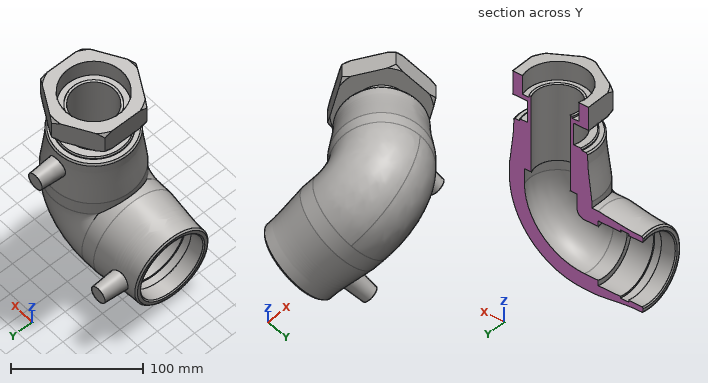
import cadquery as cq
import math

body_radius = 82.0 / 2
bend_radius = 32.7
socket_start = 46.2
arm_length = 90.0
passage_radius = 26.6

mouth_radius = 37.0
mouth_chamfer = 1.4
socket_bore_radius = 31.5
bore_chamfer = 1.0
groove_depth = 1.5
groove_start = 14.5
groove_end = 22.2

pin_inset = 18.2
pin_tip_y = 59.0
pin_root_y = 34.1
pin_tip_radius = 7.7
pin_root_radius = 9.5

collar_radius = 31.5
collar_height = 2.0
collar_chamfer = 1.0
tube_radius = 48.1 / 2
tube_bore_radius = 41.0 / 2

overall_height = 175.0
nut_top = overall_height - body_radius
nut_bottom = 111.6
nut_across_flats = 73.7
nut_face_radius = 39.5
nut_corner_slope = 0.9
nut_envelope_margin = 1.8
nut_bore_radius = 56.7 / 2
nut_bore_depth = 17.7
lip_radius = 45.3 / 2
lip_height = 1.8


def cylinder_z(radius, bottom, top):
    return cq.Workplane("XY").workplane(offset=bottom).circle(radius).extrude(top - bottom)


def along_minus_x(upright):
    """Turn a shape built along +Z so that it lies along -X."""
    return upright.rotate((0, 0, 0), (0, 1, 0), -90)


def make_arm():
    """Straight sleeve followed by a curved taper to the chamfered mouth."""
    mouth_edge = arm_length - mouth_chamfer
    taper_length = mouth_edge - socket_start
    taper_drop = body_radius - mouth_radius
    taper_controls = [
        (body_radius, socket_start),
        (body_radius - taper_drop / 3, socket_start + taper_length / 3),
        (mouth_radius, mouth_edge - taper_length / 3),
        (mouth_radius, mouth_edge),
    ]
    return (
        cq.Workplane("XZ")
        .moveTo(0, bend_radius)
        .lineTo(body_radius, bend_radius)
        .lineTo(body_radius, socket_start)
        .bezier(taper_controls[1:], includeCurrent=True)
        .lineTo(mouth_radius - mouth_chamfer, arm_length)
        .lineTo(0, arm_length)
        .close()
        .revolve(360, (0, 0, 0), (0, 1, 0))
    )


def make_bend(section):
    """Sweep a section around the axis parallel to Y through the bend centre."""
    return section.revolve(90, (-bend_radius, 0, 0), (-bend_radius, 1, 0))


def make_outer_bend():
    """The tube is wider than its bend, so its section is cut off at the bend axis."""
    half_chord = math.sqrt(body_radius**2 - bend_radius**2)
    arc_mid_angle = math.acos(-bend_radius / body_radius) / 2
    arc_mid_x = body_radius * math.cos(arc_mid_angle)
    arc_mid_y = body_radius * math.sin(arc_mid_angle)
    section = (
        cq.Workplane("XY")
        .workplane(offset=bend_radius)
        .moveTo(-bend_radius, -half_chord)
        .threePointArc((arc_mid_x, -arc_mid_y), (body_radius, 0))
        .threePointArc((arc_mid_x, arc_mid_y), (-bend_radius, half_chord))
        .close()
    )
    return make_bend(section)


def make_passage():
    """Continuous bore through the bend and into both arms."""
    section = cq.Workplane("XY").workplane(offset=bend_radius).circle(passage_radius)
    straight = cylinder_z(passage_radius, bend_radius, socket_start)
    return make_bend(section).union(straight).union(along_minus_x(straight))


def make_socket_bore():
    """Open socket with a chamfered mouth and one internal groove."""
    bore = cylinder_z(socket_bore_radius, socket_start, arm_length)
    groove = cylinder_z(
        socket_bore_radius + groove_depth, arm_length - groove_end, arm_length - groove_start
    )
    lead_in = (
        cq.Workplane("XY")
        .workplane(offset=arm_length)
        .circle(socket_bore_radius + bore_chamfer)
        .workplane(offset=-bore_chamfer)
        .circle(socket_bore_radius)
        .loft()
    )
    return along_minus_x(bore.union(groove).union(lead_in))


def make_pin(x, z):
    length = pin_tip_y - pin_root_y
    return cq.Workplane(
        cq.Solid.makeCone(
            pin_root_radius, pin_tip_radius, length, cq.Vector(x, pin_root_y, z), cq.Vector(0, 1, 0)
        )
    )


def make_nut():
    """Hexagon with corners on Y, conically chamfered at both ends and counterbored."""
    height = nut_top - nut_bottom
    corner_diameter = nut_across_flats / math.cos(math.radians(30))
    hexagon = (
        cq.Workplane("XY")
        .workplane(offset=nut_bottom)
        .transformed(rotate=(0, 0, 90))
        .polygon(6, corner_diameter)
        .extrude(height)
    )
    cone_radius = corner_diameter / 2 + nut_envelope_margin
    cone_drop = (cone_radius - nut_face_radius) * nut_corner_slope
    envelope = (
        cq.Workplane("XZ")
        .moveTo(0, nut_bottom)
        .lineTo(nut_face_radius, nut_bottom)
        .lineTo(cone_radius, nut_bottom + cone_drop)
        .lineTo(cone_radius, nut_top - cone_drop)
        .lineTo(nut_face_radius, nut_top)
        .lineTo(0, nut_top)
        .close()
        .revolve(360, (0, 0, 0), (0, 1, 0))
    )
    floor = nut_top - nut_bore_depth
    lip = cylinder_z(lip_radius, floor, floor + lip_height)
    return hexagon.intersect(envelope).cut(cylinder_z(nut_bore_radius, floor, nut_top)).union(lip)


def make_union():
    collar = cylinder_z(collar_radius, arm_length, arm_length + collar_height)
    collar = collar.faces(">Z").chamfer(collar_chamfer)
    tube = cylinder_z(tube_radius, arm_length, nut_bottom)
    return collar.union(tube).union(make_nut())


arm = make_arm()
pin_offset = arm_length - pin_inset
result = make_outer_bend().union(arm).union(along_minus_x(arm)).union(make_union())
for pin_x, pin_z in [(0, pin_offset), (-pin_offset, 0)]:
    result = result.union(make_pin(pin_x, pin_z))

result = (
    result.cut(make_passage())
    .cut(make_socket_bore())
    .cut(cylinder_z(tube_bore_radius, socket_start, nut_top))
)